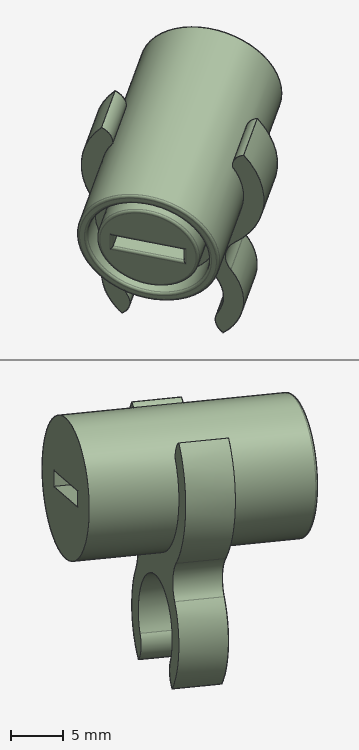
import cadquery as cq
import math

total_height = 26.4
body_radius = 7.0
body_length = 23.0
edge_fillet = 0.25

groove_outer_radius = 6.005
core_radius = 5.003
groove_depth = 3.0

slot_width = 7.0
slot_height = 1.6
slot_drop = 0.03

clip_width = 5.0
upper_radius = 9.0
lower_radius = 7.0
lower_bore_radius = 5.003
jaw_spacing = 14.5
neck_radius = 3.0

front_y = -body_length / 2

upper_tip_x = body_radius
upper_tip = (upper_tip_x, math.sqrt(upper_radius**2 - upper_tip_x**2))
upper_lip_mid = (6.05, 4.7)
upper_root_x = 5.9
upper_root = (upper_root_x, math.sqrt(body_radius**2 - upper_root_x**2))

lower_tip_drop = total_height - body_radius - jaw_spacing
lower_tip = (math.sqrt(lower_radius**2 - lower_tip_drop**2), -jaw_spacing - lower_tip_drop)
lower_lip_mid = (4.2, -jaw_spacing - 3.4)
lower_root_x = 4.51
lower_root = (lower_root_x, -jaw_spacing - math.sqrt(lower_bore_radius**2 - lower_root_x**2))

upper_reach = upper_radius + neck_radius
lower_reach = lower_radius + neck_radius
neck_drop = (upper_reach**2 - lower_reach**2 + jaw_spacing**2) / (2 * jaw_spacing)
neck_x = math.sqrt(upper_reach**2 - neck_drop**2)
upper_tangent = (neck_x * upper_radius / upper_reach, -neck_drop * upper_radius / upper_reach)
lower_tangent = (
    neck_x * lower_radius / lower_reach,
    -jaw_spacing + (jaw_spacing - neck_drop) * lower_radius / lower_reach,
)
neck_mid = (neck_x - neck_radius, -neck_drop)


def mirrored(point):
    """Reflect an (x, z) point to the other side of the clip."""
    return (-point[0], point[1])


def make_body():
    """Cylinder with a ring groove and a through slot; every front edge is rounded."""
    cylinder = cq.Workplane("XZ").circle(body_radius).extrude(body_length / 2, both=True)
    groove = (
        cq.Workplane("XZ", origin=(0, front_y, 0))
        .circle(groove_outer_radius)
        .circle(core_radius)
        .extrude(-groove_depth)
    )
    slot = cq.Workplane("XY", origin=(0, 0, -slot_drop)).box(slot_width, body_length, slot_height)
    return cylinder.cut(groove).cut(slot).faces("<Y").edges().fillet(edge_fillet)


def make_clip():
    """Double clip plate: the upper jaw grips the body, the lower one is open."""
    outline = (
        cq.Workplane("XZ")
        .moveTo(*upper_tip)
        .threePointArc((upper_radius, 0), upper_tangent)
        .threePointArc(neck_mid, lower_tangent)
        .threePointArc((lower_radius, -jaw_spacing), lower_tip)
        .threePointArc(lower_lip_mid, lower_root)
        .threePointArc((0, lower_bore_radius - jaw_spacing), mirrored(lower_root))
        .threePointArc(mirrored(lower_lip_mid), mirrored(lower_tip))
        .threePointArc((-lower_radius, -jaw_spacing), mirrored(lower_tangent))
        .threePointArc(mirrored(neck_mid), mirrored(upper_tangent))
        .threePointArc((-upper_radius, 0), mirrored(upper_tip))
        .threePointArc(mirrored(upper_lip_mid), mirrored(upper_root))
        .threePointArc((0, -body_radius), upper_root)
        .threePointArc(upper_lip_mid, upper_tip)
        .close()
    )
    return outline.extrude(clip_width / 2, both=True)


result = make_body().union(make_clip())